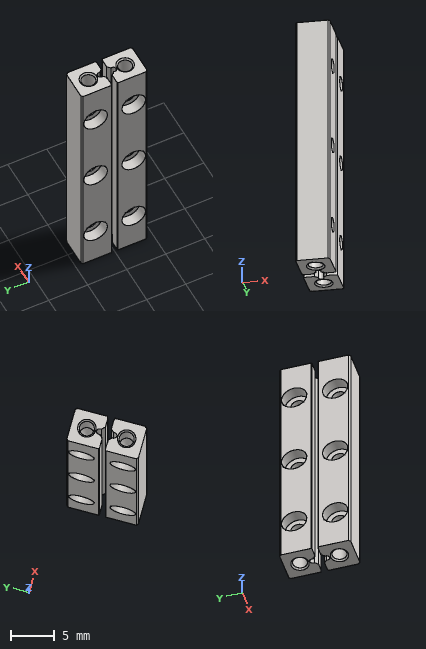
import cadquery as cq
import math

LENGTH = 30.0
HEIGHT = 4.0
PAIR_WIDTH = 8.5
RAIL_WIDTH = 3.9

OUTER_CHAMFER = 0.2
INNER_CHAMFER = 0.1
EDGE_RELIEF_WIDTH = 0.3
EDGE_RELIEF_DEPTH = 0.1

RACE_HALF_OPENING = 0.7
RELIEF_RADIUS = 0.33
RELIEF_DEPTH = 0.5

MOUNT_DIAMETER = 1.65
COUNTERBORE_DIAMETER = 3.0
COUNTERBORE_DEPTH = 1.4
MOUNT_COUNT = 3
MOUNT_PITCH = LENGTH / MOUNT_COUNT
MOUNT_FROM_BACK = 1.8

END_HOLE_DIAMETER = 1.7
END_MOUTH_DIAMETER = 2.1
END_HOLE_DEPTH = 3.0
END_HOLE_FROM_BACK = 1.9
DRILL_TIP_ANGLE = 90.0

BACK_Y = PAIR_WIDTH / 2
FACE_Y = BACK_Y - RAIL_WIDTH


def rail_blank():
    """Bar with chamfered back edges, and a relieved +X edge on the raceway face."""
    side_x = HEIGHT / 2
    return (
        cq.Workplane("XY")
        .workplane(offset=-LENGTH / 2)
        .moveTo(-side_x + INNER_CHAMFER, FACE_Y)
        .lineTo(side_x - EDGE_RELIEF_WIDTH, FACE_Y)
        .lineTo(side_x, FACE_Y + EDGE_RELIEF_DEPTH)
        .lineTo(side_x, BACK_Y - OUTER_CHAMFER)
        .lineTo(side_x - OUTER_CHAMFER, BACK_Y)
        .lineTo(-side_x + OUTER_CHAMFER, BACK_Y)
        .lineTo(-side_x, BACK_Y - OUTER_CHAMFER)
        .lineTo(-side_x, FACE_Y + INNER_CHAMFER)
        .close()
        .extrude(LENGTH)
    )


def raceway():
    """45-degree V along the full length plus the round relief at its root."""
    base = cq.Workplane("XY").workplane(offset=-LENGTH / 2)
    vee = (
        base.moveTo(-RACE_HALF_OPENING, FACE_Y)
        .lineTo(RACE_HALF_OPENING, FACE_Y)
        .lineTo(0, FACE_Y + RACE_HALF_OPENING)
        .close()
        .extrude(LENGTH)
    )
    relief = base.center(0, FACE_Y + RELIEF_DEPTH).circle(RELIEF_RADIUS).extrude(LENGTH)
    return vee.union(relief)


def mounting_hole(z):
    """Through hole along X, counterbored from the -X side."""
    start = cq.Workplane("YZ", origin=(-HEIGHT / 2, BACK_Y - MOUNT_FROM_BACK, z))
    counterbore = start.circle(COUNTERBORE_DIAMETER / 2).extrude(COUNTERBORE_DEPTH)
    return start.circle(MOUNT_DIAMETER / 2).extrude(HEIGHT).union(counterbore)


def end_hole():
    """Drilled hole in the top end, with a 45-degree countersunk mouth and a conical tip."""
    radius = END_HOLE_DIAMETER / 2
    mouth_radius = END_MOUTH_DIAMETER / 2
    mouth_depth = mouth_radius - radius
    tip_depth = radius / math.tan(math.radians(DRILL_TIP_ANGLE / 2))
    return (
        cq.Workplane("XZ")
        .lineTo(mouth_radius, 0)
        .lineTo(radius, -mouth_depth)
        .lineTo(radius, -END_HOLE_DEPTH)
        .lineTo(0, -END_HOLE_DEPTH - tip_depth)
        .close()
        .revolve(360, (0, 0), (0, 1))
        .translate((0, BACK_Y - END_HOLE_FROM_BACK, LENGTH / 2))
    )


def rail():
    """One complete rail on the +Y side."""
    body = rail_blank().cut(raceway())
    for index in range(MOUNT_COUNT):
        body = body.cut(mounting_hole((index - (MOUNT_COUNT - 1) / 2) * MOUNT_PITCH))
    top_hole = end_hole()
    return body.cut(top_hole).cut(top_hole.mirror("XY"))


rear_rail = rail()
rails = [rear_rail.val(), rear_rail.mirror("XZ").val()]

result = cq.Compound.makeCompound(rails)